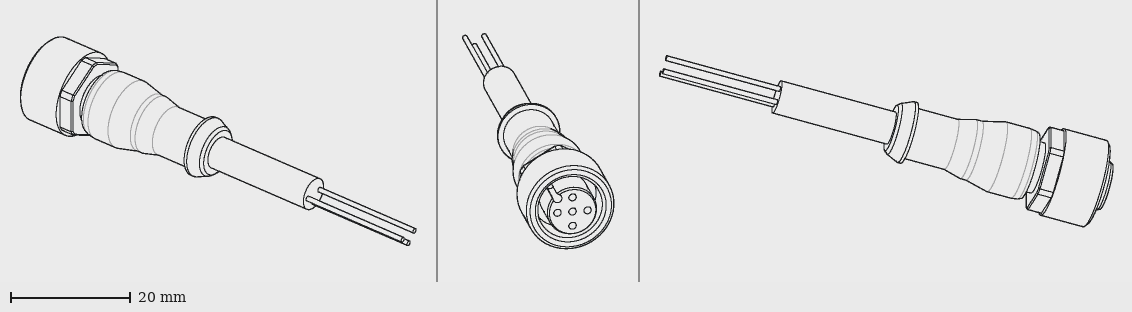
import cadquery as cq

total_length = 77.8

insert_radius = 4.2
insert_chamfer_length = 0.5
insert_chamfer_height = 0.2
contact_radius = 0.6
contact_pitch_radius = 2.6
contact_depth = 4.7
key_radius = 0.74
key_offset = 2.6
key_depth = 6.2

nut_start = 1.5
nut_end = 9.4
nut_diameter = 15.0
nut_radius = nut_diameter / 2
nut_chamfer_length = 0.5
nut_chamfer_height = 0.55
bore_radius = 5.5
bore_mouth_radius = 6.1
bore_floor = 7.0

hex_end = 12.0
hex_across_flats = 12.9
hex_corner_radius = 7.15
hex_edge_chamfer = 0.2

neck_radius = 4.35
grip_start = 13.4
grip_nose_radius = 5.7
grip_nose_end = 13.9
grip_nose_end_radius = 5.9
grip_radius = 6.1
grip_shoulder = 15.0
grip_taper_start = 19.2
band_start = 23.2
band_end = 24.2
band_radius = 5.1
sleeve_start = 27.2
sleeve_radius = 4.35

collar_start = 34.6
collar_rim_end = 35.2
collar_radius = 5.3
collar_tail_start = 37.2
collar_tail_radius = 4.4
collar_end = 37.7
collar_end_radius = 4.0

cable_radius = 2.8
wire_length = 20.0
cable_end = total_length - wire_length
wire_radius = 0.43
wire_offset = 1.6
wire_overlap = 0.8


def rod(radius, start, end, y=0.0, z=0.0):
    """Solid cylinder parallel to X."""
    return cq.Workplane("YZ", origin=(start, y, z)).circle(radius).extrude(end - start)


def revolve_about_x(profile):
    return profile.close().revolve(360, (0, 0, 0), (1, 0, 0))


def make_insert():
    insert = revolve_about_x(
        cq.Workplane("XY")
        .lineTo(0, insert_radius - insert_chamfer_height)
        .lineTo(insert_chamfer_length, insert_radius)
        .lineTo(hex_end, insert_radius)
        .lineTo(hex_end, 0)
    )
    contact_positions = [
        (0, 0),
        (contact_pitch_radius, 0),
        (-contact_pitch_radius, 0),
        (0, contact_pitch_radius),
        (0, -contact_pitch_radius),
    ]
    for y, z in contact_positions:
        insert = insert.cut(rod(contact_radius, 0, contact_depth, y, z))
    return insert.cut(rod(key_radius, 0, key_depth, key_offset, key_offset))


def make_nut():
    bore_mouth_end = nut_start + bore_mouth_radius - bore_radius
    return revolve_about_x(
        cq.Workplane("XY")
        .moveTo(nut_start, bore_mouth_radius)
        .lineTo(nut_start, nut_radius - nut_chamfer_height)
        .lineTo(nut_start + nut_chamfer_length, nut_radius)
        .lineTo(nut_end, nut_radius)
        .lineTo(nut_end, 0)
        .lineTo(bore_floor, 0)
        .lineTo(bore_floor, bore_radius)
        .lineTo(bore_mouth_end, bore_radius)
    )


def make_hexagon():
    prism = (
        cq.Workplane("YZ", origin=(nut_end, 0, 0))
        .polygon(6, hex_across_flats, circumscribed=True)
        .extrude(hex_end - nut_end)
    )
    corner_cylinder = rod(hex_corner_radius, nut_end, hex_end)
    return prism.intersect(corner_cylinder).faces(">X").chamfer(hex_edge_chamfer)


def make_grip_and_cable():
    return revolve_about_x(
        cq.Workplane("XY")
        .moveTo(nut_end, 0)
        .lineTo(nut_end, neck_radius)
        .lineTo(grip_start, neck_radius)
        .lineTo(grip_start, grip_nose_radius)
        .lineTo(grip_nose_end, grip_nose_end_radius)
        .lineTo(grip_shoulder, grip_radius)
        .lineTo(grip_taper_start, grip_radius)
        .lineTo(band_start, band_radius)
        .lineTo(band_end, band_radius)
        .lineTo(sleeve_start, sleeve_radius)
        .lineTo(collar_start, sleeve_radius)
        .lineTo(collar_start, collar_radius)
        .lineTo(collar_rim_end, collar_radius)
        .lineTo(collar_tail_start, collar_tail_radius)
        .lineTo(collar_end, collar_end_radius)
        .lineTo(collar_end, cable_radius)
        .lineTo(cable_end, cable_radius)
        .lineTo(cable_end, 0)
    )


result = make_insert().union(make_nut()).union(make_hexagon()).union(make_grip_and_cable())
for wire_y, wire_z in [(wire_offset, 0), (-wire_offset, 0), (0, -wire_offset)]:
    result = result.union(rod(wire_radius, cable_end - wire_overlap, total_length, wire_y, wire_z))